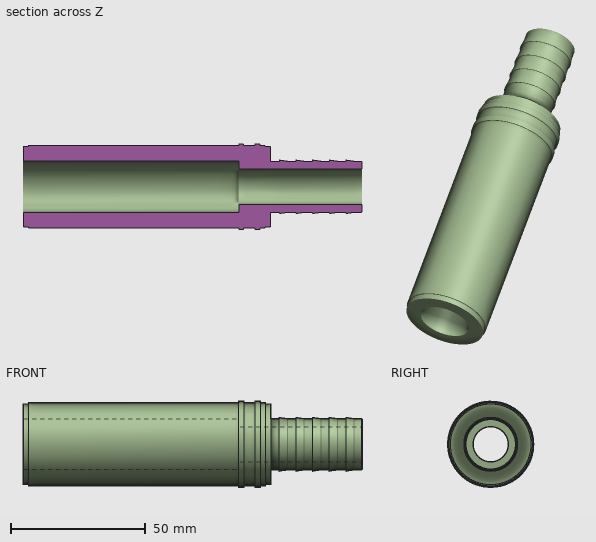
import cadquery as cq

total_length = 126.0

body_length = 92.0
body_diameter = 31.0
end_step_diameter = 30.0
end_step_length = 2.0

collar_diameter = 32.0
collar_width = 2.0
first_collar_start = 80.0
collar_pitch = 6.0
collar_count = 2

spigot_diameter = 19.2
barb_diameter = 20.0
barb_count = 5
spigot_length = total_length - body_length
stretch_length = spigot_length / (2 * barb_count + 1)
tip_chamfer = 0.4

wide_bore_diameter = 18.9
wide_bore_depth = first_collar_start
narrow_bore_diameter = 13.0


def cylinder_along_x(start, length, diameter):
    return cq.Workplane("YZ", origin=(start, 0, 0)).circle(diameter / 2).extrude(length)


def make_body():
    straight_length = body_length - 2 * end_step_length
    body = cylinder_along_x(0, body_length, end_step_diameter)
    body = body.union(cylinder_along_x(end_step_length, straight_length, body_diameter))
    for index in range(collar_count):
        collar_start = first_collar_start + index * collar_pitch
        body = body.union(cylinder_along_x(collar_start, collar_width, collar_diameter))
    return body


def make_spigot():
    """Revolve the spigot outline; each barb rises sharply and tapers down toward the tip."""
    root_radius = spigot_diameter / 2
    barb_radius = barb_diameter / 2
    outline = cq.Workplane("XY").moveTo(body_length, 0).lineTo(body_length, root_radius)
    for index in range(barb_count):
        barb_start = body_length + (2 * index + 1) * stretch_length
        outline = outline.lineTo(barb_start, root_radius)
        outline = outline.lineTo(barb_start, barb_radius)
        outline = outline.lineTo(barb_start + stretch_length, root_radius)
    outline = outline.lineTo(total_length - tip_chamfer, root_radius)
    outline = outline.lineTo(total_length, root_radius - tip_chamfer)
    outline = outline.lineTo(total_length, 0).close()
    return outline.revolve(360, (0, 0, 0), (1, 0, 0))


def make_bore():
    wide_bore = cylinder_along_x(0, wide_bore_depth, wide_bore_diameter)
    return wide_bore.union(cylinder_along_x(0, total_length, narrow_bore_diameter))


result = make_body().union(make_spigot()).cut(make_bore())